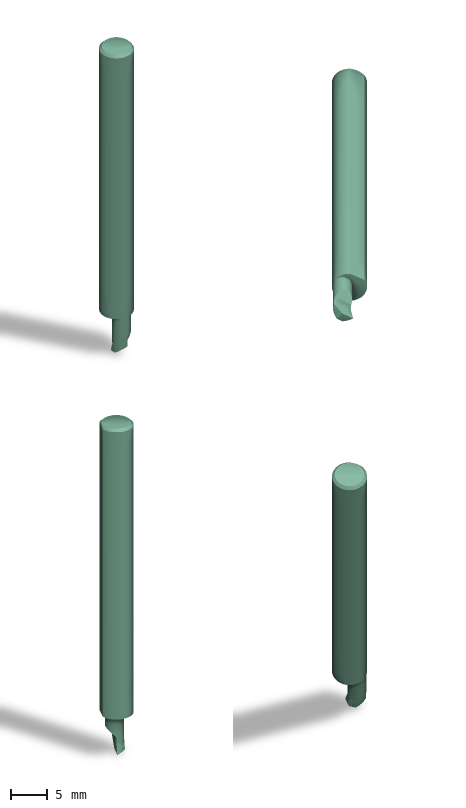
import cadquery as cq
import math

total_length = 50.79
shank_diameter = 4.76
shank_flat_y = 2.13
end_chamfer = 0.38
reach = 6.35

neck_diameter = 2.60
head_height = 1.50
hook_overhang = 0.38
hook_run = 0.92
flank_bulge = 0.08
rake_relief_height = 2.45
ramp_angle = 45.0
end_angle = 3.0
end_clearance_angle = 7.0
corner_chamfer = 1.20

shank_radius = shank_diameter / 2
neck_radius = neck_diameter / 2
neck_x = shank_radius - neck_radius
neck_left = neck_x - neck_radius
tip_x = neck_left - hook_overhang
grind_size = 2 * shank_diameter


def make_shank():
    """Round shank, chamfered at the free end, with a flat along its +Y side."""
    shank = (
        cq.Workplane("XY")
        .workplane(offset=reach)
        .circle(shank_radius)
        .extrude(total_length - reach)
        .faces(">Z")
        .chamfer(end_chamfer)
    )
    keep = cq.Workplane("XY").box(
        shank_diameter, shank_radius + shank_flat_y, total_length, centered=(True, False, False)
    ).translate((0, -shank_radius, 0))
    return shank.intersect(keep)


def make_neck():
    """Round neck, ramped down to the rake plane Y = 0 on its +Y side, with room for the head."""
    neck = cq.Workplane("XY").center(neck_x, 0).circle(neck_radius).extrude(reach)
    ramp_rise = shank_diameter * math.tan(math.radians(ramp_angle))
    relief = (
        cq.Workplane("YZ")
        .polyline([
            (0, 0),
            (shank_diameter, 0),
            (shank_diameter, rake_relief_height + ramp_rise),
            (0, rake_relief_height),
        ])
        .close()
        .extrude(grind_size, both=True)
    )
    head_room = cq.Workplane("XY").box(
        neck_radius, neck_radius, head_height, centered=False
    ).translate((neck_left, -neck_radius, 0))
    return neck.cut(relief).cut(head_room)


def head_section(left_x):
    """Wire of the head in a level plane, its rake edge starting at left_x."""
    back_x = left_x + hook_run
    chord = math.hypot(hook_run, neck_radius)
    bow = (
        (left_x + back_x) / 2 - flank_bulge * neck_radius / chord,
        -neck_radius / 2 - flank_bulge * hook_run / chord,
    )
    return (
        cq.Workplane("XY")
        .moveTo(left_x, 0)
        .threePointArc(bow, (back_x, -neck_radius))
        .lineTo(neck_x, -neck_radius)
        .lineTo(neck_x, 0)
        .close()
        .val()
    )


def make_head():
    """Hooked head whose flank leans outwards down to the tip."""
    lower = head_section(tip_x)
    upper = head_section(neck_left).translate(cq.Vector(0, 0, head_height))
    return cq.Workplane(cq.Solid.makeLoft([lower, upper], True))


def make_end_grind():
    """Material below the end face, which rises from the tip towards +X and -Y."""
    normal = cq.Vector(
        math.tan(math.radians(end_angle)), -math.tan(math.radians(end_clearance_angle)), -1
    )
    plane = cq.Plane(origin=(tip_x, 0, 0), xDir=(0, 1, 0), normal=normal)
    return cq.Workplane(plane).rect(grind_size, grind_size).extrude(grind_size)


def make_corner_grind():
    """Wedge that takes off the lower +X corner."""
    end_z = (shank_radius - tip_x) * math.tan(math.radians(end_angle))
    top_z = end_z + corner_chamfer
    return (
        cq.Workplane("XZ")
        .polyline([(shank_radius, top_z), (shank_radius, 0), (shank_radius - top_z, 0)])
        .close()
        .extrude(grind_size, both=True)
    )


bar = make_neck().union(make_head()).cut(make_end_grind()).cut(make_corner_grind())
result = make_shank().union(bar)